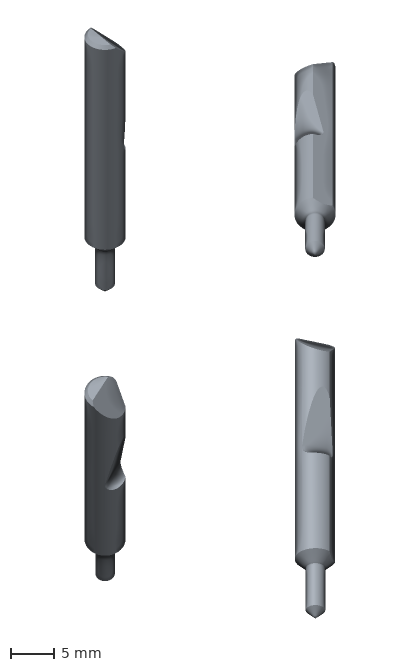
import cadquery as cq
import math

body_diameter = 4.76
body_radius = body_diameter / 2
overall_length = 38.1
top_chamfer = 0.4

body_length = 30.0
shank_radius = 1.13
shoulder_height = body_radius - shank_radius
tip_height = shank_radius
shoulder_top_z = overall_length - body_length

bevel_start_y = -0.62

notch_top_z = overall_length - 7.9
notch_floor_z = overall_length - 17.0
notch_taper = math.radians(9.2)
notch_corner_radius = 1.2

flat_distance = 2.02
flat_direction = 144

margin = 1.0
cutter_width = body_diameter + 2 * margin


def make_body():
    """Revolve the whole stepped pin about Z."""
    profile = [
        (0, 0),
        (-shank_radius, tip_height),
        (-shank_radius, shoulder_top_z - shoulder_height),
        (-body_radius, shoulder_top_z),
        (-body_radius, overall_length - top_chamfer),
        (-body_radius + top_chamfer, overall_length),
        (0, overall_length),
    ]
    return cq.Workplane("XZ").polyline(profile).close().revolve(360, (0, 0), (0, 1))


def extrude_across(outline):
    """Extrude a closed YZ outline across the full width of the body."""
    return outline.extrude(cutter_width / 2, both=True)


def make_bevel_cutter():
    """Triangle above the 45 degree bevel."""
    outer_y = body_radius + margin
    top_z = overall_length + margin
    start_y = bevel_start_y - margin
    bevel_drop = outer_y - start_y
    corners = [(start_y, top_z), (outer_y, top_z), (outer_y, top_z - bevel_drop)]
    return extrude_across(cq.Workplane("YZ").polyline(corners).close())


def make_notch_cutter():
    """Tapered wall meeting a level floor in a rounded inner corner."""
    inner_y = body_radius - (notch_top_z - notch_floor_z) * math.tan(notch_taper)
    outer_y = body_radius + margin
    outer_top_z = notch_top_z + margin / math.tan(notch_taper)
    corners = [(inner_y, notch_floor_z), (outer_y, notch_floor_z), (outer_y, outer_top_z)]
    cutter = extrude_across(cq.Workplane("YZ").polyline(corners).close())
    inner_edge = cq.selectors.NearestToPointSelector((0, inner_y, notch_floor_z))
    return cutter.edges(inner_edge).fillet(notch_corner_radius)


def make_flat_cutter():
    """Block outside the flat, running the full length of the body."""
    block = cq.Workplane("XY").box(
        body_radius, cutter_width, overall_length, centered=(False, True, False)
    )
    return block.translate((flat_distance, 0, 0)).rotate((0, 0, 0), (0, 0, 1), flat_direction)


result = (
    make_body()
    .cut(make_bevel_cutter())
    .cut(make_notch_cutter())
    .cut(make_flat_cutter())
)